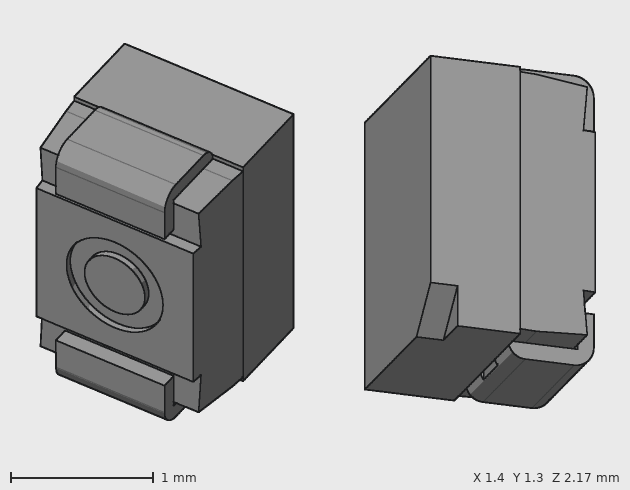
import cadquery as cq
import math


width = 1.4
cap_length = 2.0
cap_depth = 0.665
corner_mark_height = 0.3
corner_mark_width = 0.3
corner_mark_depth = 0.2

lead_thickness = 0.122
lead_width = 0.9
foot_bend_radius = 0.15
lead_reach = 0.635
lead_foot_length = 0.4
overall_length = 2.17
notch_width = 0.3
notch_depth = 0.025

draft_slope = math.tan(math.radians(5))
base_depth = 0.575
pad_length = 1.2
ring_groove_radius = 0.4
ring_groove_inner_radius = 0.25
ring_groove_depth = 0.05

lead_outer_z = overall_length / 2
lead_inner_z = lead_outer_z - lead_thickness
lead_inner_y = lead_thickness - lead_reach
base_half_length = lead_inner_z
pad_half_length = pad_length / 2
arc_mid_ratio = math.sin(math.radians(45))


def make_cap():
    """Block behind the base, with one back edge bevelled as a polarity mark."""
    block = cq.Workplane("XY").box(width, cap_depth, cap_length, centered=(True, False, True))
    corner_x = -width / 2
    corner_z = -cap_length / 2
    corner_mark = (
        cq.Workplane("XZ", origin=(0, cap_depth, 0))
        .moveTo(corner_x, corner_z)
        .lineTo(corner_x + corner_mark_width, corner_z)
        .lineTo(corner_x, corner_z + corner_mark_height)
        .close()
        .extrude(corner_mark_depth)
    )
    return block.cut(corner_mark)


def make_base():
    """Base with drafted sides, a raised centre pad and a ring groove in the pad."""
    tip_z = base_half_length + (lead_inner_y + lead_thickness) * draft_slope
    recess_y = lead_inner_y + (tip_z - pad_half_length) * draft_slope
    upper_half = [
        (0, base_half_length),
        (-lead_thickness, base_half_length),
        (lead_inner_y, tip_z),
        (recess_y, pad_half_length),
        (-base_depth, pad_half_length),
    ]
    lower_half = [(y, -z) for y, z in reversed(upper_half)]
    end_profile = (
        cq.Workplane("YZ")
        .polyline(upper_half + lower_half)
        .close()
        .extrude(width / 2, both=True)
    )

    front_half_width = width / 2 - base_depth * draft_slope
    side_profile = (
        cq.Workplane("XY")
        .moveTo(-width / 2, 0)
        .lineTo(width / 2, 0)
        .lineTo(front_half_width, -base_depth)
        .lineTo(-front_half_width, -base_depth)
        .close()
        .extrude(base_half_length, both=True)
    )

    ring_groove = (
        cq.Workplane("XZ", origin=(0, -base_depth + ring_groove_depth, 0))
        .circle(ring_groove_radius)
        .circle(ring_groove_inner_radius)
        .extrude(ring_groove_depth)
    )
    return end_profile.intersect(side_profile).cut(ring_groove)


def make_lead(end):
    """Lead at the +Z end (end = 1) or the -Z end (end = -1), with its foot turned inward."""
    outer_z = end * lead_outer_z
    inner_z = end * lead_inner_z
    edge_round_offset = lead_thickness * arc_mid_ratio
    edge_round_mid_z = inner_z + end * edge_round_offset
    foot_bend_y = foot_bend_radius - lead_reach
    foot_bend_z = end * (lead_outer_z - foot_bend_radius)
    foot_bend_offset = foot_bend_radius * arc_mid_ratio
    foot_bend_mid_z = foot_bend_z + end * foot_bend_offset
    foot_z = end * (lead_outer_z - lead_foot_length)
    strip = (
        cq.Workplane("YZ")
        .moveTo(0, inner_z)
        .threePointArc((edge_round_offset - lead_thickness, edge_round_mid_z), (-lead_thickness, outer_z))
        .lineTo(foot_bend_y, outer_z)
        .threePointArc((foot_bend_y - foot_bend_offset, foot_bend_mid_z), (-lead_reach, foot_bend_z))
        .lineTo(-lead_reach, foot_z)
        .lineTo(lead_inner_y, foot_z)
        .lineTo(lead_inner_y, inner_z)
        .close()
        .extrude(lead_width / 2, both=True)
    )
    notch = (
        cq.Workplane("XY")
        .box(notch_width, 2 * notch_depth, 2 * lead_thickness)
        .translate((0, 0, inner_z))
    )
    return strip.cut(notch)


cap = make_cap()
base = make_base()
leads = [make_lead(end) for end in (1, -1)]

result = cq.Compound.makeCompound([cap.val(), base.val(), *[lead.val() for lead in leads]])